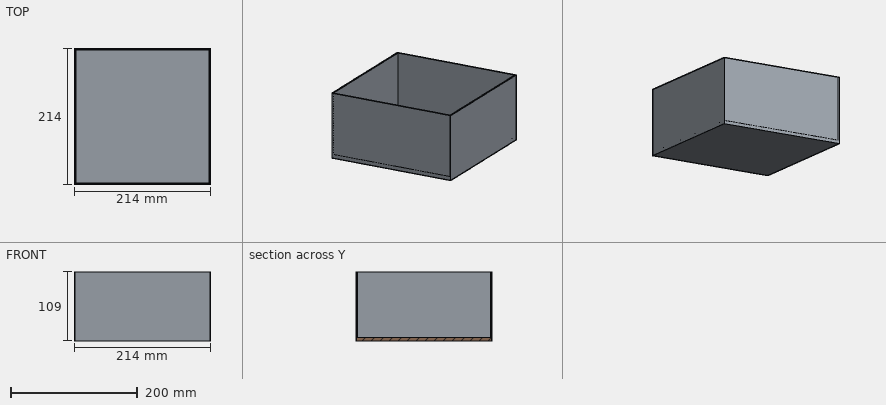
import cadquery as cq

side = 214.0
height = 109.0
wall = 2.0
floor_thickness = 6.0

cavity_side = side - 2 * wall
cavity_depth = height - floor_thickness

body = cq.Workplane("XY").box(side, side, height, centered=(True, True, False))

cavity = (
    cq.Workplane("XY")
    .workplane(offset=floor_thickness)
    .rect(cavity_side, cavity_side)
    .extrude(cavity_depth)
)

result = body.cut(cavity)